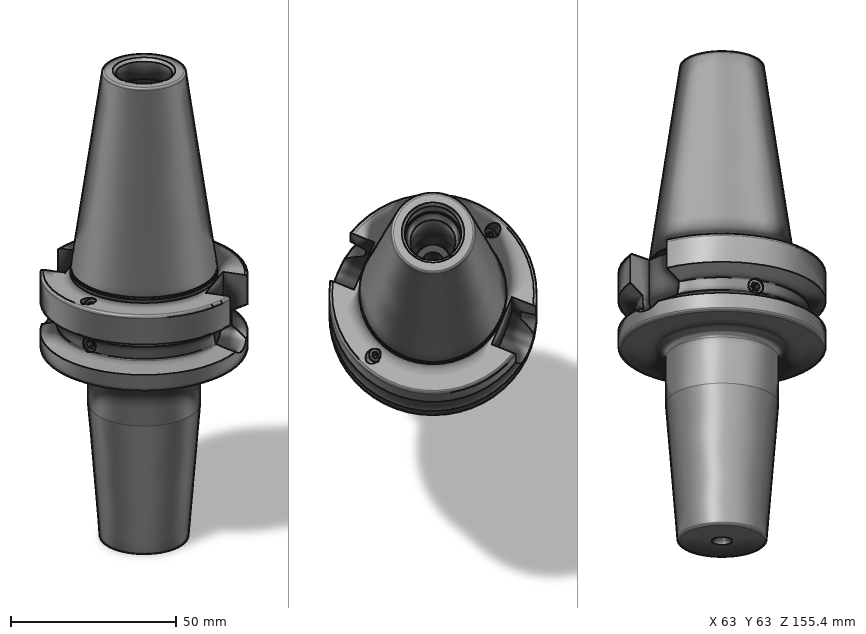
import cadquery as cq
import math

total_length = 155.4
gauge_z = 90.0
flange_top_z = 88.1
flange_bottom_z = 62.8
nose_cone_top_z = 44.8

taper_rate = 7 / 24
gauge_radius = 22.2
small_end_radius = gauge_radius - (total_length - gauge_z) * taper_rate / 2
small_end_rounding = 0.8
relief_radius = 21.9
relief_bottom_z = 89.2
collar_radius = 22.4

shank_radius = 17.1
nose_tip_radius = 13.5
nose_tip_rounding = 0.8
shank_fillet = 3.0

flange_diameter = 63.0
flange_radius = flange_diameter / 2
flange_rounding = 1.0
groove_radius = 26.5
groove_corner_fillet = 0.5
groove_floor_bottom_z = 71.2
groove_floor_top_z = 75.7
groove_flank_rate = math.tan(math.radians(30))
groove_flank_rise = (flange_radius - groove_radius) * groove_flank_rate
groove_mid_z = (groove_floor_bottom_z + groove_floor_top_z) / 2

slot_width = 16.2
slot_bottom_z = 66.7
slot_floor_distance = 22.5

bore_mouth_radius = 9.5
pilot_radius = 8.5
pilot_depth = 6.8
undercut_radius = 9.0
undercut_width = 1.5
thread_radius = 6.8
thread_depth = 28.0
drill_radius = 5.5
drill_depth = 32.6
coolant_bore_radius = 3.1

plug_angle = 70.0
top_plug_pitch_radius = 26.9
top_plug_tilt = 35.0
top_plug_diameter = 4.2
top_plug_recess = 1.9
top_socket_width = 1.9
groove_plug_diameter = 4.8
groove_plug_recess = 0.5
groove_socket_width = 2.5
socket_depth = 3.1
plug_overrun = 4.7


def make_body():
    """Turned outline revolved about the Z axis."""
    fillet_shift = shank_fillet * math.sqrt(0.5)
    fillet_center_r = shank_radius + shank_fillet
    fillet_center_z = flange_bottom_z - shank_fillet
    outline = (
        cq.Workplane("XZ")
        .moveTo(0, 0)
        .lineTo(nose_tip_radius, 0)
        .lineTo(shank_radius, nose_cone_top_z)
        .lineTo(shank_radius, fillet_center_z)
        .threePointArc(
            (fillet_center_r - fillet_shift, fillet_center_z + fillet_shift),
            (fillet_center_r, flange_bottom_z),
        )
        .lineTo(flange_radius, flange_bottom_z)
        .lineTo(flange_radius, groove_floor_bottom_z - groove_flank_rise)
        .lineTo(groove_radius, groove_floor_bottom_z)
        .lineTo(groove_radius, groove_floor_top_z)
        .lineTo(flange_radius, groove_floor_top_z + groove_flank_rise)
        .lineTo(flange_radius, flange_top_z)
        .lineTo(collar_radius, flange_top_z)
        .lineTo(collar_radius, relief_bottom_z)
        .lineTo(relief_radius, relief_bottom_z)
        .lineTo(gauge_radius, gauge_z)
        .lineTo(small_end_radius, total_length)
        .lineTo(0, total_length)
        .close()
    )
    return outline.revolve(360, (0, 0, 0), (0, 1, 0))


def round_rims(body):
    """Round the nose tip, flange rims, groove corners and small end."""
    rims = (
        (nose_tip_radius, 0, nose_tip_rounding),
        (flange_radius, flange_bottom_z, flange_rounding),
        (groove_radius, groove_floor_bottom_z, groove_corner_fillet),
        (groove_radius, groove_floor_top_z, groove_corner_fillet),
        (flange_radius, flange_top_z, flange_rounding),
        (small_end_radius, total_length, small_end_rounding),
    )
    tolerance = 0.02
    for radius, z, rounding in rims:
        on_rim = cq.selectors.BoxSelector(
            (-radius, -radius, z - tolerance), (radius, radius, z + tolerance)
        )
        circles = body.edges("%CIRCLE").edges(on_rim)
        body = circles.filter(lambda edge: abs(edge.radius() - radius) < tolerance).fillet(rounding)
    return body


def make_bore():
    """Stepped pull-stud bore with the coolant hole running through."""
    pilot_z = total_length - pilot_depth
    undercut_z = pilot_z - undercut_width
    thread_z = total_length - thread_depth
    drill_z = total_length - drill_depth
    outline = (
        cq.Workplane("XZ")
        .moveTo(0, 0)
        .lineTo(coolant_bore_radius, 0)
        .lineTo(coolant_bore_radius, drill_z)
        .lineTo(drill_radius, drill_z)
        .lineTo(thread_radius, thread_z)
        .lineTo(thread_radius, undercut_z - (pilot_radius - thread_radius))
        .lineTo(pilot_radius, undercut_z)
        .lineTo(undercut_radius, undercut_z)
        .lineTo(undercut_radius, pilot_z)
        .lineTo(pilot_radius, pilot_z)
        .lineTo(pilot_radius, total_length - (bore_mouth_radius - pilot_radius))
        .lineTo(bore_mouth_radius, total_length)
        .lineTo(0, total_length)
        .close()
    )
    return outline.revolve(360, (0, 0, 0), (0, 1, 0))


def make_drive_slot():
    """Round-bottomed slot on the +X side, open at the top and the rim."""
    slot_radius = slot_width / 2
    center_z = slot_bottom_z + slot_radius
    return (
        cq.Workplane("YZ", origin=(slot_floor_distance, 0, 0))
        .moveTo(-slot_radius, gauge_z)
        .lineTo(-slot_radius, center_z)
        .threePointArc((0, slot_bottom_z), (slot_radius, center_z))
        .lineTo(slot_radius, gauge_z)
        .close()
        .extrude(flange_radius)
    )


def make_plug_recess(mouth, inward, diameter, recess, socket_width):
    """Round recess down to a screw face, with a hexagon socket sunk into it."""
    start = mouth - inward * plug_overrun
    face_distance = plug_overrun + recess
    plane = cq.Plane(origin=start, xDir=(0, 1, 0), normal=inward)
    corner_diameter = socket_width / math.cos(math.pi / 6)
    hole = cq.Workplane(plane).circle(diameter / 2).extrude(face_distance)
    socket = cq.Workplane(plane).polygon(6, corner_diameter).extrude(face_distance + socket_depth)
    return hole.union(socket)


def make_top_plug():
    """Leaning plug in the flange top, above the +X axis."""
    tilt = math.radians(top_plug_tilt)
    return make_plug_recess(
        cq.Vector(top_plug_pitch_radius, 0, flange_top_z),
        cq.Vector(-math.sin(tilt), 0, -math.cos(tilt)),
        top_plug_diameter,
        top_plug_recess,
        top_socket_width,
    )


def make_groove_plug():
    """Radial plug in the floor of the gripper groove, on the +X axis."""
    return make_plug_recess(
        cq.Vector(groove_radius, 0, groove_mid_z),
        cq.Vector(-1, 0, 0),
        groove_plug_diameter,
        groove_plug_recess,
        groove_socket_width,
    )


def cut_opposite_pair(body, cutter, angle):
    """Cut the +X cutter at the given polar angle and directly opposite it."""
    for turn in (angle, angle + 180):
        body = body.cut(cutter.rotate((0, 0, 0), (0, 0, 1), turn))
    return body


result = round_rims(make_body()).cut(make_bore())
result = cut_opposite_pair(result, make_drive_slot(), 0)
result = cut_opposite_pair(result, make_top_plug(), plug_angle)
result = cut_opposite_pair(result, make_groove_plug(), plug_angle)